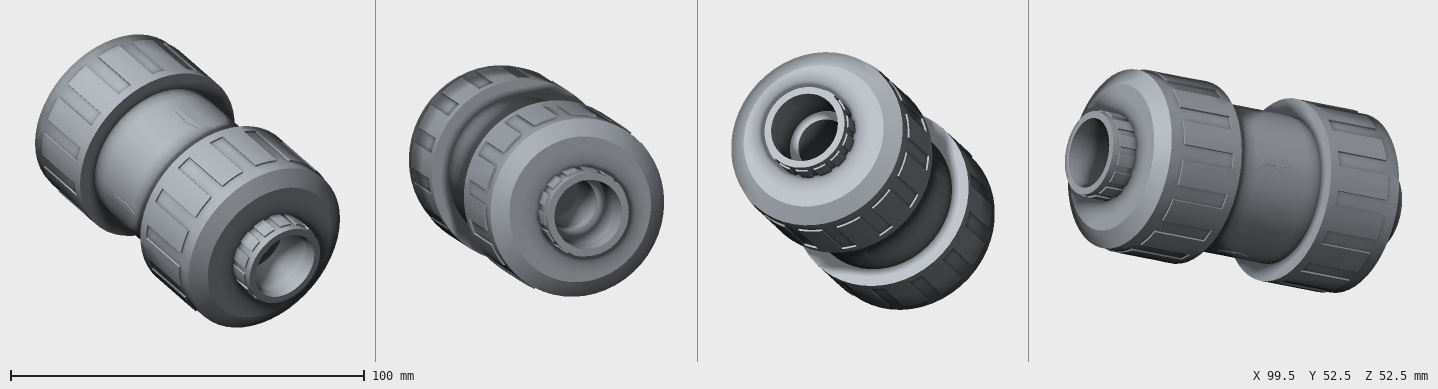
import cadquery as cq


total_length = 99.5
half_length = total_length / 2

nut_diameter = 52.5
nut_groove_diameter = 0.98 * nut_diameter
nut_nose_diameter = 42.0
nut_outer_face = 41.95
nut_inner_face = 15.4
nut_chamfer_length = 2.75
nut_rib_start = 18.15
nut_rib_end = 35.0
nut_rib_width = 7.2

pipe_diameter = 25.0
pipe_groove_diameter = 0.96 * pipe_diameter
pipe_plain_length = 2.1
pipe_rib_end = half_length - pipe_plain_length
pipe_rib_width = 3.6

rib_count = 14
rib_pitch = 360 / rib_count
rib_phase = rib_pitch / 5

socket_diameter = 20.0
socket_depth = 16.0
bore_diameter = 15.0
bore_end = nut_inner_face

body_diameter = 0.81 * nut_diameter
arrow_height = 0.2
arrow_length = 10.0
arrow_head_length = arrow_length / 2
arrow_shaft_width = 1.5
arrow_head_width = 2.7
arrow_count = 4


def cylinder(diameter, start, end):
    """Cylinder on the X axis between two X positions."""
    return cq.Workplane("YZ", origin=(start, 0, 0)).circle(diameter / 2).extrude(end - start)


def ribs(outer_diameter, root_diameter, width, start, end):
    """Ring of parallel-sided ribs standing on a root cylinder."""
    outer_radius = outer_diameter / 2
    blank = cq.Workplane("XY").box(end - start, outer_radius, width)
    blank = blank.translate(((start + end) / 2, -outer_radius, 0))
    ring = cylinder(outer_diameter, start, end)
    bars = cq.Workplane("XY")
    for index in range(rib_count):
        angle = rib_phase + index * rib_pitch
        bars = bars.add(blank.rotate((0, 0, 0), (1, 0, 0), angle))
    return ring.intersect(bars.combine()).union(cylinder(root_diameter, start, end))


def nut():
    """Union nut of the +X end: chamfered nose, ribbed middle and plain inner rim."""
    groove_radius = nut_groove_diameter / 2
    core = (
        cq.Workplane("XY")
        .moveTo(nut_inner_face, 0)
        .lineTo(nut_inner_face, groove_radius)
        .lineTo(nut_outer_face - nut_chamfer_length, groove_radius)
        .lineTo(nut_outer_face, nut_nose_diameter / 2)
        .lineTo(nut_outer_face, 0)
        .close()
        .revolve(360, (0, 0, 0), (1, 0, 0))
    )
    rim = cylinder(nut_diameter, nut_inner_face, nut_rib_start)
    grip = ribs(nut_diameter, nut_groove_diameter, nut_rib_width, nut_rib_start, nut_rib_end)
    return core.union(rim).union(grip)


def pipe_end():
    """Ribbed pipe end projecting from the +X nut."""
    core = cylinder(pipe_groove_diameter, nut_outer_face, half_length)
    grip = ribs(pipe_diameter, pipe_groove_diameter, pipe_rib_width, nut_outer_face, pipe_rib_end)
    return core.union(grip)


def end_assembly():
    """Nut and pipe end of the +X side with the stepped blind bore."""
    socket = cylinder(socket_diameter, half_length - socket_depth, half_length)
    bore = cylinder(bore_diameter, bore_end, half_length)
    return nut().union(pipe_end()).cut(socket).cut(bore)


def arrow():
    """Raised arrow on the top of the body, pointing to +X."""
    neck = arrow_length / 2 - arrow_head_length
    shaft = arrow_shaft_width / 2
    head = arrow_head_width / 2
    prism = (
        cq.Workplane("XY")
        .polyline([
            (-arrow_length / 2, -shaft),
            (neck, -shaft),
            (neck, -head),
            (arrow_length / 2, 0),
            (neck, head),
            (neck, shaft),
            (-arrow_length / 2, shaft),
        ])
        .close()
        .extrude(body_diameter)
    )
    skin = cylinder(body_diameter + 2 * arrow_height, -arrow_length, arrow_length)
    return prism.intersect(skin)


body = cylinder(body_diameter, -nut_inner_face, nut_inner_face)
for index in range(arrow_count):
    body = body.union(arrow().rotate((0, 0, 0), (1, 0, 0), index * 360 / arrow_count))

right_end = end_assembly()
left_end = right_end.rotate((0, 0, 0), (0, 0, 1), 180)
result = body.union(right_end).union(left_end)